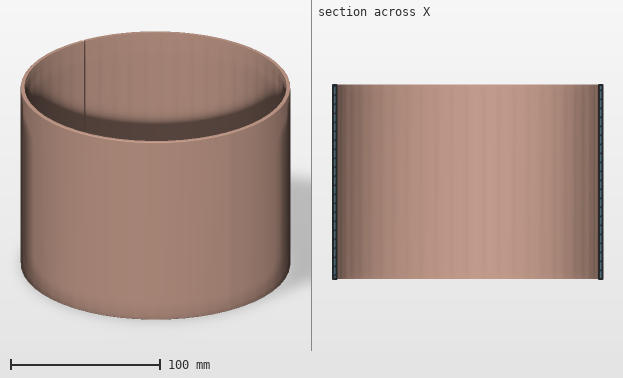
import cadquery as cq

outer_diameter = 180.0
height = 130.0
wall = 2.5
slit_width = 1.5
edge_round = 0.5

outer_radius = outer_diameter / 2
inner_radius = outer_radius - wall

sleeve = (
    cq.Workplane("XY")
    .circle(outer_radius)
    .extrude(height)
    .faces("|Z")
    .edges()
    .fillet(edge_round)
    .faces(">Z")
    .workplane()
    .circle(inner_radius)
    .cutThruAll()
)

slit_depth = 4 * wall
slit = (
    cq.Workplane("XY")
    .center(-outer_radius, slit_width / 2)
    .rect(slit_depth, slit_width)
    .extrude(height)
)

result = sleeve.cut(slit)